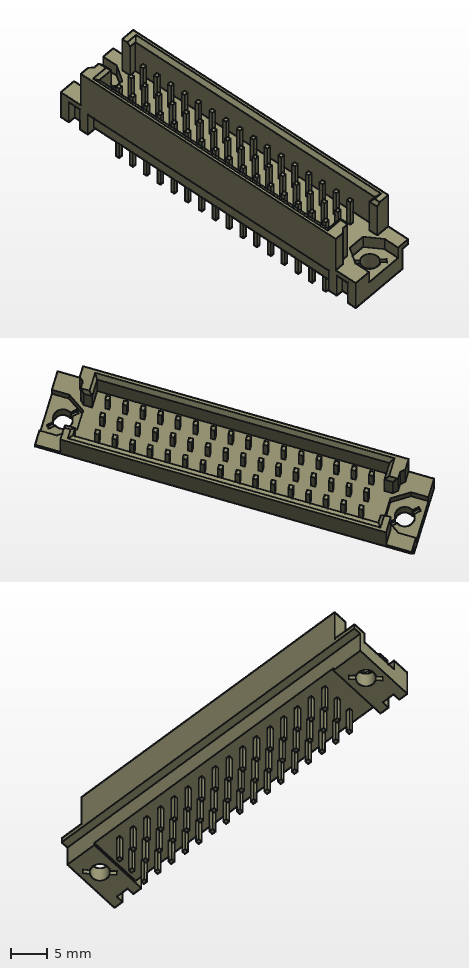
import cadquery as cq
LENGTH = 54.36
WIDTH = 11.0
FLANGE_Z = 5.1
WALL_TOP_Z = 11.5
END_X = LENGTH / 2
SIDE_Y = WIDTH / 2

RIM_BOTTOM_Z = 4.1
BODY_BOTTOM_Z = 0.5
RIM_OVERHANG = 1.2
FOOT_LENGTH = 5.0
FOOT_NOTCH_OFFSET = 1.5
FOOT_NOTCH_WIDTH = 2.0
FOOT_INNER_X = END_X - FOOT_LENGTH

FLANGE_LENGTH = 3.68
WALL_END_X = END_X - FLANGE_LENGTH
WALL_INNER_Y = 4.33
LEAD_IN_DEPTH = 0.52
LEAD_IN_RUN = 0.72
BACK_TAB_TIP_Y = 3.2
BACK_TAB_INNER_X = 22.05
FRONT_TAB_TIP_Y = -1.85
FRONT_TAB_INNER_X = 21.1
FRONT_TAB_OUTER_X = 22.9
FRONT_TAB_SHOULDER_Y = (-3.95, -3.35)
FRONT_TAB_TIP_CHAMFER_X = 0.6
FRONT_TAB_TIP_CHAMFER_Y = 0.55

POCKET_FLOOR_Z = 3.0
POCKET_CENTER_Y = 0.33
POCKET_HALF_WIDTH = 3.05
POCKET_TIP_HALF_WIDTH = 1.4
POCKET_STRAIGHT = 2.5
POCKET_DEPTH_X = 5.0
HOLE_END_OFFSET = 2.5
HOLE_X = END_X - HOLE_END_OFFSET
HOLE_DIAMETER = 2.8
SLOT_LENGTH = 4.7
SLOT_WIDTH = 0.6
SLOT_DEPTH = 1.0
SLOT_ANGLE = 45

PIN_COLUMNS = 16
PIN_ROWS = 3
PIN_PITCH = 2.54
PIN_SIZE = 0.6
PIN_BOTTOM_Z = -4.5
PIN_TOP_Z = 9.7


def box(x_range, y_range, z_range):
    """Axis-aligned box between pairs of limits."""
    size = [high - low for low, high in (x_range, y_range, z_range)]
    origin = (x_range[0], y_range[0], z_range[0])
    return cq.Workplane("XY").box(*size, centered=False).translate(origin)


def prism(points, bottom_z, top_z):
    """Closed plan outline raised between two heights."""
    plane = cq.Workplane("XY").workplane(offset=bottom_z)
    return plane.polyline(points).close().extrude(top_z - bottom_z)


def on_both_ends(left):
    """The given left-end solid together with its mirror image at the right end."""
    return left.union(left.mirror("YZ"))


def make_base():
    base = box((-END_X, END_X), (-SIDE_Y, SIDE_Y), (0, FLANGE_Z))
    back_step = box((-END_X, END_X), (SIDE_Y - RIM_OVERHANG, SIDE_Y), (0, RIM_BOTTOM_Z))
    front_recess = box((-FOOT_INNER_X, FOOT_INNER_X), (-SIDE_Y, -SIDE_Y + RIM_OVERHANG), (0, RIM_BOTTOM_Z))
    underside = box((-FOOT_INNER_X, FOOT_INNER_X), (-SIDE_Y, SIDE_Y), (0, BODY_BOTTOM_Z))
    notch_x = -END_X + FOOT_NOTCH_OFFSET
    foot_notch = box(
        (notch_x, notch_x + FOOT_NOTCH_WIDTH),
        (-SIDE_Y, -SIDE_Y + RIM_OVERHANG),
        (0, RIM_BOTTOM_Z),
    )
    return base.cut(back_step).cut(front_recess).cut(underside).cut(on_both_ends(foot_notch))


def lead_in(x_half):
    """Flared cutter for the mouth of a shroud wall: rectangle widening up to the wall top."""
    foot_z = WALL_TOP_Z - LEAD_IN_DEPTH
    return (
        cq.Workplane("XY")
        .workplane(offset=foot_z)
        .rect(2 * x_half, 2 * WALL_INNER_Y)
        .workplane(offset=LEAD_IN_DEPTH)
        .rect(2 * (x_half + LEAD_IN_DEPTH), 2 * (WALL_INNER_Y + LEAD_IN_RUN))
        .loft(ruled=True)
    )


def tip_bevel(x_range, tip_y, inward):
    """Wedge bevelling the top edge of a tab tip at 45 degrees; `inward` is the Y sign into the tab."""
    profile = [
        (tip_y, WALL_TOP_Z - LEAD_IN_DEPTH),
        (tip_y, WALL_TOP_Z),
        (tip_y + inward * LEAD_IN_DEPTH, WALL_TOP_Z),
    ]
    wedge = cq.Workplane("YZ").polyline(profile).close().extrude(x_range[1] - x_range[0])
    return wedge.translate((x_range[0], 0, 0))


def make_back_wall():
    outline = [
        (-WALL_END_X, SIDE_Y),
        (-WALL_END_X, BACK_TAB_TIP_Y),
        (-BACK_TAB_INNER_X, BACK_TAB_TIP_Y),
        (-BACK_TAB_INNER_X, WALL_INNER_Y),
        (BACK_TAB_INNER_X, WALL_INNER_Y),
        (BACK_TAB_INNER_X, BACK_TAB_TIP_Y),
        (WALL_END_X, BACK_TAB_TIP_Y),
        (WALL_END_X, SIDE_Y),
    ]
    wall = prism(outline, FLANGE_Z, WALL_TOP_Z)
    mouth = lead_in(BACK_TAB_INNER_X)
    right_tip = tip_bevel((BACK_TAB_INNER_X, WALL_END_X), BACK_TAB_TIP_Y, 1)
    return wall.cut(mouth).cut(right_tip)


def make_front_wall():
    shoulder_outer_y, shoulder_inner_y = FRONT_TAB_SHOULDER_Y
    left_side = [
        (-WALL_END_X, -SIDE_Y),
        (-WALL_END_X, shoulder_outer_y),
        (-FRONT_TAB_OUTER_X, shoulder_inner_y),
        (-FRONT_TAB_OUTER_X, FRONT_TAB_TIP_Y - FRONT_TAB_TIP_CHAMFER_Y),
        (-FRONT_TAB_OUTER_X + FRONT_TAB_TIP_CHAMFER_X, FRONT_TAB_TIP_Y),
        (-FRONT_TAB_INNER_X, FRONT_TAB_TIP_Y),
        (-FRONT_TAB_INNER_X, -WALL_INNER_Y),
    ]
    right_side = [(-x, y) for x, y in reversed(left_side)]
    wall = prism(left_side + right_side, FLANGE_Z, WALL_TOP_Z)
    mouth = lead_in(FRONT_TAB_INNER_X)
    left_tip = tip_bevel((-WALL_END_X, -FRONT_TAB_INNER_X), FRONT_TAB_TIP_Y, -1)
    return wall.cut(mouth).cut(on_both_ends(left_tip))


def make_mounting_pockets():
    outline = [
        (-END_X, POCKET_CENTER_Y - POCKET_HALF_WIDTH),
        (-END_X + POCKET_STRAIGHT, POCKET_CENTER_Y - POCKET_HALF_WIDTH),
        (-END_X + POCKET_DEPTH_X, POCKET_CENTER_Y - POCKET_TIP_HALF_WIDTH),
        (-END_X + POCKET_DEPTH_X, POCKET_CENTER_Y + POCKET_TIP_HALF_WIDTH),
        (-END_X + POCKET_STRAIGHT, POCKET_CENTER_Y + POCKET_HALF_WIDTH),
        (-END_X, POCKET_CENTER_Y + POCKET_HALF_WIDTH),
    ]
    return on_both_ends(prism(outline, POCKET_FLOOR_Z, FLANGE_Z))


def make_mounting_holes():
    """Through holes, each crossed by a shallow diagonal slot in the pocket floor and one in the underside."""
    centers = [(-HOLE_X, POCKET_CENTER_Y), (HOLE_X, POCKET_CENTER_Y)]
    holes = cq.Workplane("XY").pushPoints(centers).circle(HOLE_DIAMETER / 2).extrude(FLANGE_Z)
    slot = (
        cq.Workplane("XY")
        .box(SLOT_LENGTH, SLOT_WIDTH, SLOT_DEPTH, centered=(True, True, False))
        .rotate((0, 0, 0), (0, 0, 1), SLOT_ANGLE)
    )
    for x, y in centers:
        for z in (0, POCKET_FLOOR_Z - SLOT_DEPTH):
            holes = holes.union(slot.translate((x, y, z)))
    return holes


def make_pins():
    return (
        cq.Workplane("XY")
        .workplane(offset=PIN_BOTTOM_Z)
        .rarray(PIN_PITCH, PIN_PITCH, PIN_COLUMNS, PIN_ROWS)
        .rect(PIN_SIZE, PIN_SIZE)
        .extrude(PIN_TOP_Z - PIN_BOTTOM_Z)
    )


housing = make_base().union(make_back_wall()).union(make_front_wall())
housing = housing.cut(make_mounting_pockets()).cut(make_mounting_holes())
result = housing.union(make_pins())